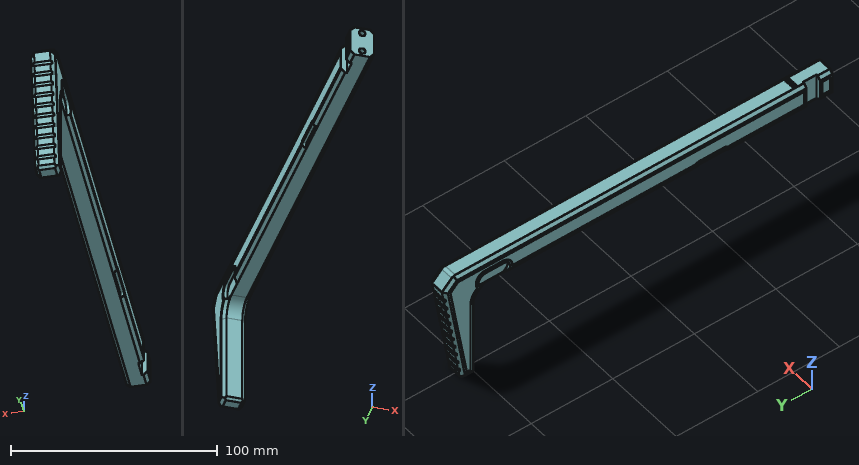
import cadquery as cq
import math

length = 238.0
width = 12.0
height = 72.0
side_x = width / 2

rod_height = 16.2
grip_depth = 19.5
grip_tip = 8.5
back_chamfer = 7.0
back_round = 3.0
throat_radius = 8.0
tip_chamfer = 1.5
edge_chamfer = 2.0

panel_margin = 1.5
panel_depth = 0.2

relief_depth = edge_chamfer
thumb_relief_height = 8.5
thumb_relief_length = 19.3
thumb_relief_front = 197.7
small_relief_height = 2.9
small_relief_length = 18.5
small_relief_front = 64.2

slot_front = 7.5
slot_back = 16.0
slot_depth = 2.9

pocket_length = 2.1
pocket_width = 6.2
pocket_depth = 2.0
pocket_y = 21.0

hole_diameter = 3.0
hole_depth = 10.0
hole_spacing = 10.5

groove_count = 10
groove_pitch = 6.0
groove_radius = 1.0
groove_depth = 0.7
first_groove_drop = 6.7

grip_front_y = length - grip_depth
tip_back_y = grip_front_y + grip_tip
back_slope = math.atan2(length - tip_back_y, height - back_chamfer)


def outline(front_y):
    """Closed side outline of rod and grip, with the rod starting at front_y."""
    return (
        cq.Workplane("YZ")
        .moveTo(front_y, 0)
        .lineTo(length - back_chamfer, 0)
        .lineTo(length, -back_chamfer)
        .lineTo(tip_back_y, -height)
        .lineTo(grip_front_y, -height)
        .lineTo(grip_front_y, -rod_height - throat_radius)
        .radiusArc((grip_front_y - throat_radius, -rod_height), -throat_radius)
        .lineTo(front_y, -rod_height)
        .close()
    )


def make_body():
    """Rod and grip with chamfered long edges; the front end stays square."""
    body = outline(0).extrude(side_x, both=True)
    top_back_edge = cq.selectors.NearestToPointSelector((0, length - back_chamfer, 0))
    long_edges = body.faces("<X or >X").edges("not <Y")
    body = long_edges.chamfer(edge_chamfer)
    body = body.edges(top_back_edge).fillet(back_round)
    return body.faces("<Z").edges("|X").chamfer(tip_chamfer)


def relief(front_y, relief_length, relief_height, margin=0.0):
    """Obround block across the part, grown outward by margin."""
    return (
        cq.Workplane("YZ")
        .center(front_y + relief_length / 2, -rod_height + relief_height / 2)
        .slot2D(relief_length + 2 * margin, relief_height + 2 * margin)
        .extrude(width, both=True)
    )


def side_reliefs(margin=0.0):
    thumb = relief(thumb_relief_front, thumb_relief_length, thumb_relief_height, margin)
    small = relief(small_relief_front, small_relief_length, small_relief_height, margin)
    return thumb.union(small)


def y_slab(y_start, y_end):
    """Block between two Y positions that spans the whole height of the part."""
    return (
        cq.Workplane("XY")
        .box(2 * width, y_end - y_start, 2 * height, centered=(True, False, False))
        .translate((0, y_start, -1.5 * height))
    )


def side_layer(depth):
    """Block covering the outermost depth of the -X side."""
    return (
        cq.Workplane("XY")
        .box(depth, 2 * length, 2 * height)
        .translate((depth / 2 - side_x, length / 2, -height / 2))
    )


def panel_area():
    """Side face shrunk by the margin and kept clear of its edges, reliefs and slot."""
    inset = edge_chamfer + panel_margin
    area = outline(-length).offset2D(-inset).extrude(width, both=True)
    area = area.cut(y_slab(-length, panel_margin))
    area = area.cut(y_slab(slot_front - panel_margin, slot_back + panel_margin))
    return area.cut(side_reliefs(panel_margin))


def cut_side(body):
    """Panels, reliefs and cross slot, all in the -X side."""
    slot = y_slab(slot_front, slot_back)
    body = body.cut(panel_area().intersect(side_layer(panel_depth)))
    body = body.cut(side_reliefs().intersect(side_layer(relief_depth)))
    return body.cut(slot.intersect(side_layer(slot_depth)))


def cut_top_pocket(body):
    pocket = cq.Workplane("XY").box(pocket_width, pocket_length, 2 * pocket_depth)
    return body.cut(pocket.translate((0, pocket_y, 0)))


def cut_front_holes(body):
    holes = (
        cq.Workplane("XZ")
        .center(0, -rod_height / 2)
        .rarray(2.4, hole_spacing, 1, 2)
        .circle(hole_diameter / 2)
        .extrude(-hole_depth)
    )
    return body.cut(holes)


def cut_grip_grooves(body):
    """Round grooves spaced evenly down the sloping back of the grip."""
    axis_offset = groove_radius - groove_depth
    for index in range(groove_count):
        along = first_groove_drop + index * groove_pitch
        y = length - along * math.sin(back_slope) + axis_offset * math.cos(back_slope)
        z = -back_chamfer - along * math.cos(back_slope) + axis_offset * math.sin(back_slope)
        groove = cq.Workplane("YZ").center(y, z).circle(groove_radius).extrude(width, both=True)
        body = body.cut(groove)
    return body


body = make_body()
body = cut_side(body)
body = cut_top_pocket(body)
body = cut_front_holes(body)
result = cut_grip_grooves(body)